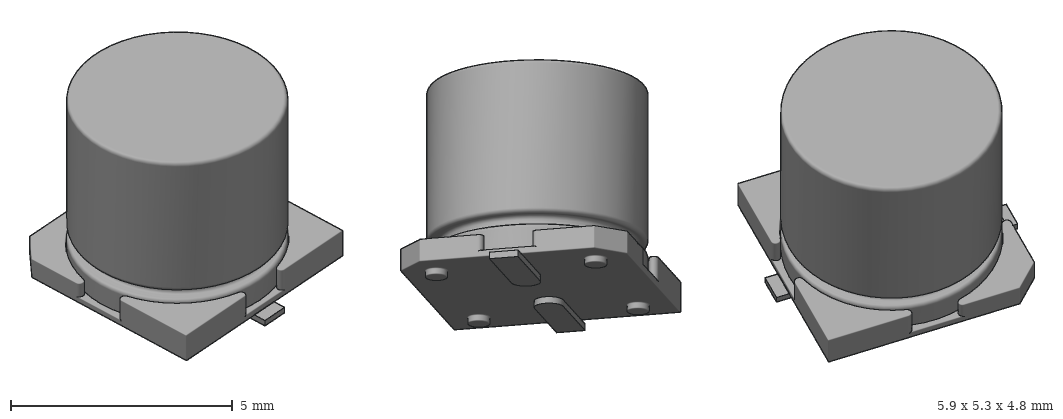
import cadquery as cq
import math

total_length = 5.9
total_height = 4.8
base_side = 5.3

foot_height = 0.155
pad_width = 0.665
pad_gap = 1.375
foot_diameter = 0.5
foot_offset = 1.86

floor_z = 0.32
low_post_z = 0.69
high_post_z = 0.88
corner_chamfer = 0.615
edge_round = 0.025
bore_radius = 2.52
notch_width = 1.37

can_radius = 5.0 / 2
neck_radius = 4.5 / 2
can_round = 0.1
neck_z = 1.06
neck_straight = 0.035
shoulder_drop = 0.01


def base_block(top_z):
    """Square block with its two -X corners cut off and its upright edges rounded."""
    return (
        cq.Workplane("XY")
        .workplane(offset=foot_height)
        .rect(base_side, base_side)
        .extrude(top_z - foot_height)
        .edges("|Z and <X")
        .chamfer(corner_chamfer)
        .edges("|Z")
        .fillet(edge_round)
    )


def make_plate():
    """Base plate with all its outer edges rounded."""
    return base_block(floor_z).faces("<Z or >Z").edges().fillet(edge_round)


def make_post(x_side, y_side, top_z):
    """Corner post, hollowed by the bore, whose two ends are full rounds."""
    reach = base_side / 2
    end_x = notch_width / 2

    end_radius = (end_x**2 + reach**2 - bore_radius**2) / (2 * (bore_radius + reach))
    center_y = reach - end_radius
    tip_x = end_x - end_radius
    bore_share = bore_radius / (bore_radius + end_radius)
    bore_x = end_x * bore_share
    bore_y = center_y * bore_share
    bore_middle = bore_radius * math.sqrt(0.5)

    def at(x, y):
        return (x_side * x, y_side * y)

    corner = (
        cq.Workplane("XY")
        .moveTo(*at(end_x, reach))
        .lineTo(*at(reach, reach))
        .lineTo(*at(reach, end_x))
        .threePointArc(at(center_y, tip_x), at(bore_y, bore_x))
        .threePointArc(at(bore_middle, bore_middle), at(bore_x, bore_y))
        .threePointArc(at(tip_x, center_y), at(end_x, reach))
        .close()
        .extrude(top_z)
    )
    post = base_block(top_z).intersect(corner)
    return post.faces("<Z or >Z").edges().fillet(edge_round)


def make_can():
    """Revolved can that stands on the plate."""
    lip_radius = can_radius - can_round
    throat_radius = neck_radius + can_round
    neck_low = neck_z - neck_straight / 2
    shoulder_z = neck_low - can_round - shoulder_drop
    neck_high = neck_z + neck_straight / 2
    profile = (
        cq.Workplane("XZ")
        .moveTo(0, floor_z)
        .lineTo(can_radius, floor_z)
        .lineTo(can_radius, shoulder_z - can_round)
        .radiusArc((lip_radius, shoulder_z), -can_round)
        .lineTo(throat_radius, neck_low - can_round)
        .radiusArc((neck_radius, neck_low), can_round)
        .lineTo(neck_radius, neck_high)
        .radiusArc((throat_radius, neck_high + can_round), can_round)
        .lineTo(lip_radius, neck_high + can_round)
        .radiusArc((can_radius, neck_high + 2 * can_round), -can_round)
        .lineTo(can_radius, total_height - can_round)
        .radiusArc((lip_radius, total_height), -can_round)
        .lineTo(0, total_height)
        .close()
    )
    return profile.revolve(360, (0, 0, 0), (0, 1, 0))


def make_pads():
    """Two terminal strips along X with round inner ends."""
    strip = (
        cq.Workplane("XY")
        .rect(total_length, pad_width)
        .extrude(foot_height)
    )
    end_x = pad_gap / 2 + pad_width / 2
    gap = cq.Workplane("XY").rect(2 * end_x, pad_width).extrude(foot_height)
    ends = (
        cq.Workplane("XY")
        .pushPoints([(-end_x, 0), (end_x, 0)])
        .circle(pad_width / 2)
        .extrude(foot_height)
    )
    return strip.cut(gap).union(ends)


def make_foot(x, y):
    """Round foot that flares into the base and has a rounded bottom edge."""
    radius = foot_diameter / 2
    profile = (
        cq.Workplane("XZ")
        .lineTo(radius - edge_round, 0)
        .radiusArc((radius, edge_round), -edge_round)
        .lineTo(radius, foot_height - edge_round)
        .radiusArc((radius + edge_round, foot_height), edge_round)
        .lineTo(0, foot_height)
        .close()
    )
    return profile.revolve(360, (0, 0, 0), (0, 1, 0)).translate((x, y, 0))


result = make_plate().union(make_can()).union(make_pads())
for side in (-1, 1):
    result = result.union(make_post(-1, side, low_post_z))
    result = result.union(make_post(1, side, high_post_z))
    for end in (-1, 1):
        result = result.union(make_foot(end * foot_offset, side * foot_offset))